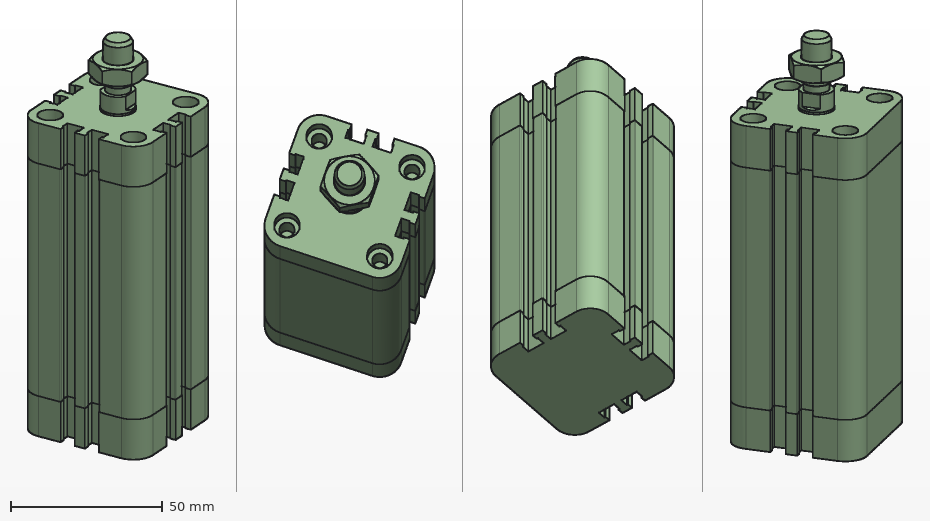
import cadquery as cq
import math

BODY_WIDTH = 47.5
TOTAL_HEIGHT = 140.0
ROD_EXTENSION = 25.9
CAP_HEIGHT = 14.7
CORNER_RADIUS = 7.5

BODY_HEIGHT = TOTAL_HEIGHT - ROD_EXTENSION
FRONT_CAP_BOTTOM = BODY_HEIGHT - CAP_HEIGHT
BARREL_HEIGHT = FRONT_CAP_BOTTOM - CAP_HEIGHT

SLOT_CENTER = 4.8
SLOT_MOUTH_WIDTH = 5.5
SLOT_INNER_WIDTH = 6.5
SLOT_DEPTH = 5.0
SLOT_LIP = 2.1
MOUTH_ROUNDING = 0.3
SLOT_SIDES = (0, 90, -90)

SCREW_OFFSET = 16.2
SCREW_HOLE_DIAMETER = 5.0
COUNTERBORE_DIAMETER = 8.5
COUNTERBORE_DEPTH = 5.2

GUIDE_DIAMETER = 12.0
GUIDE_PROJECTION = 0.7
ROD_DIAMETER = 11.8
ROD_SHOULDER_Z = 121.0
WRENCH_FLATS = 10.0
FLATS_BOTTOM_Z = 116.0
FLATS_RUNOUT_DROP = 0.5
NECK_DIAMETER = 8.7
THREAD_BOTTOM_Z = 123.8
THREAD_UNDERCUT_HEIGHT = 0.4
THREAD_DIAMETER = 10.0
THREAD_CHAMFER = 0.8
THREAD_CHAMFER_HEIGHT = 1.4

NUT_FLATS = 17.0
NUT_HEIGHT = 6.3
NUT_BOTTOM_Z = 126.0
NUT_FACE_DIAMETER = 16.7
NUT_CHAMFER_ANGLE = 30.0
NUT_BORE_CHAMFER = 0.3


def make_slot(x_center, height):
    """Cutter for one undercut slot, open on the -Y side."""
    mouth = cq.Workplane("XY").box(SLOT_MOUTH_WIDTH, SLOT_DEPTH, height, centered=(True, False, False))
    groove = cq.Workplane("XY").box(
        SLOT_INNER_WIDTH, SLOT_DEPTH - SLOT_LIP, height, centered=(True, False, False)
    )
    slot = mouth.union(groove.translate((0, SLOT_LIP, 0)))
    return slot.translate((x_center, -BODY_WIDTH / 2, 0))


def make_profile_block(bottom_z, height):
    """Rounded square block with the sensor slots, used for barrel and caps."""
    block = cq.Workplane("XY").box(BODY_WIDTH, BODY_WIDTH, height, centered=(True, True, False))
    block = block.edges("|Z").fillet(CORNER_RADIUS)
    for x_center in (-SLOT_CENTER, SLOT_CENTER):
        slot = make_slot(x_center, height)
        for turn in SLOT_SIDES:
            block = block.cut(slot.rotate((0, 0, 0), (0, 0, 1), turn))
    return block.translate((0, 0, bottom_z))


def make_barrel():
    """Barrel between the caps, with the slot mouth edges rounded."""
    barrel = make_profile_block(CAP_HEIGHT, BARREL_HEIGHT)
    mouth_reach = SLOT_CENTER + SLOT_INNER_WIDTH / 2
    side = BODY_WIDTH / 2
    near_slots = cq.selectors.BoxSelector(
        (-mouth_reach, -side - SLOT_LIP / 2, 0),
        (mouth_reach, -side + SLOT_LIP / 2, TOTAL_HEIGHT),
    )
    for turn in SLOT_SIDES:
        barrel = barrel.rotate((0, 0, 0), (0, 0, 1), -turn)
        barrel = barrel.edges("|Z").edges(near_slots).fillet(MOUTH_ROUNDING)
        barrel = barrel.rotate((0, 0, 0), (0, 0, 1), turn)
    return barrel


def make_front_cap():
    """Front cap with four counterbored screw holes and the rod bore."""
    cap = make_profile_block(FRONT_CAP_BOTTOM, CAP_HEIGHT)
    holes = cap.faces(">Z").workplane(origin=(0, 0, BODY_HEIGHT))
    holes = holes.rect(2 * SCREW_OFFSET, 2 * SCREW_OFFSET, forConstruction=True).vertices()
    cap = holes.cboreHole(SCREW_HOLE_DIAMETER, COUNTERBORE_DIAMETER, COUNTERBORE_DEPTH)
    rod_bore = cq.Workplane("XY").circle(GUIDE_DIAMETER / 2).extrude(CAP_HEIGHT)
    return cap.cut(rod_bore.translate((0, 0, FRONT_CAP_BOTTOM)))


def make_rod():
    """Piston rod through the front cap: guided part, shank with flats, neck and threaded end."""
    thread_radius = THREAD_DIAMETER / 2
    half_section = [
        (0, FRONT_CAP_BOTTOM),
        (GUIDE_DIAMETER / 2, FRONT_CAP_BOTTOM),
        (GUIDE_DIAMETER / 2, BODY_HEIGHT + GUIDE_PROJECTION),
        (ROD_DIAMETER / 2, BODY_HEIGHT + GUIDE_PROJECTION),
        (ROD_DIAMETER / 2, ROD_SHOULDER_Z),
        (NECK_DIAMETER / 2, ROD_SHOULDER_Z),
        (NECK_DIAMETER / 2, THREAD_BOTTOM_Z - THREAD_UNDERCUT_HEIGHT),
        (thread_radius, THREAD_BOTTOM_Z),
        (thread_radius, TOTAL_HEIGHT - THREAD_CHAMFER_HEIGHT),
        (thread_radius - THREAD_CHAMFER, TOTAL_HEIGHT),
        (0, TOTAL_HEIGHT),
    ]
    rod = cq.Workplane("XZ").polyline(half_section).close().revolve(360, (0, 0, 0), (0, 1, 0))

    flat_x = WRENCH_FLATS / 2
    rod_radius = ROD_DIAMETER / 2
    flat_section = [
        (flat_x, FLATS_BOTTOM_Z),
        (rod_radius, FLATS_BOTTOM_Z - FLATS_RUNOUT_DROP),
        (rod_radius, ROD_SHOULDER_Z),
        (flat_x, ROD_SHOULDER_Z),
    ]
    cutter = cq.Workplane("XZ").polyline(flat_section).close().extrude(rod_radius, both=True)
    return rod.cut(cutter).cut(cutter.mirror("YZ"))


def make_nut():
    """Hexagon nut, corners on the Y axis, chamfered on both faces."""
    corner_radius = NUT_FLATS / math.sqrt(3)
    face_radius = NUT_FACE_DIAMETER / 2
    chamfer_height = (corner_radius - face_radius) * math.tan(math.radians(NUT_CHAMFER_ANGLE))
    hexagon = cq.Workplane("XY").polygon(6, 2 * corner_radius).extrude(NUT_HEIGHT)
    hexagon = hexagon.rotate((0, 0, 0), (0, 0, 1), 90)

    half_section = [
        (0, 0),
        (face_radius, 0),
        (corner_radius, chamfer_height),
        (corner_radius, NUT_HEIGHT - chamfer_height),
        (face_radius, NUT_HEIGHT),
        (0, NUT_HEIGHT),
    ]
    envelope = cq.Workplane("XZ").polyline(half_section).close().revolve(360, (0, 0, 0), (0, 1, 0))
    bore = cq.Workplane("XY").circle(THREAD_DIAMETER / 2).extrude(NUT_HEIGHT)
    nut = hexagon.intersect(envelope).cut(bore)
    nut = nut.edges(cq.selectors.RadiusNthSelector(0)).chamfer(NUT_BORE_CHAMFER)
    return nut.translate((0, 0, NUT_BOTTOM_Z))


rear_cap = make_profile_block(0, CAP_HEIGHT)
barrel = make_barrel()
front_cap = make_front_cap()
rod = make_rod()
nut = make_nut()

result = cq.Compound.makeCompound([
    rear_cap.val(),
    barrel.val(),
    front_cap.val(),
    rod.val(),
    nut.val(),
])